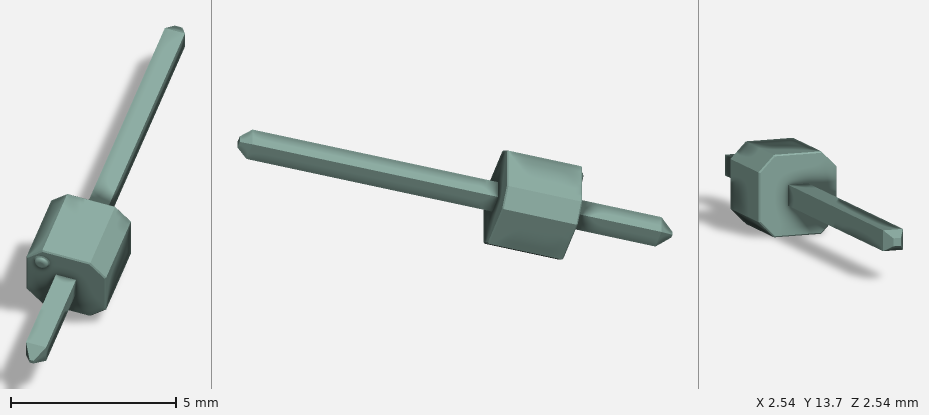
import cadquery as cq

total_length = 13.67
pin_width = 0.64
front_taper = 0.42
front_tip_width = 0.12
back_taper = 0.34
back_tip_width = 0.25

housing_width = 2.54
housing_corner = 0.5
housing_length = 2.38
housing_front = 3.2
end_chamfer = 0.04

nub_foot_radius = 0.26
nub_foot_height = 0.03
nub_dome_radius = 0.22
nub_round = 0.11
nub_offset = housing_width / 2 - housing_corner


def front_plane(y):
    """Plane across the pin at the given Y, with its normal towards +Y."""
    return cq.Plane(origin=(0, y, 0), xDir=(1, 0, 0), normal=(0, 1, 0))


def square_loft(y, length, start_width, end_width):
    """Square frustum that starts at Y = y and runs along +Y."""
    return (
        cq.Workplane(front_plane(y))
        .rect(start_width, start_width)
        .workplane(offset=length)
        .rect(end_width, end_width)
        .loft(ruled=True)
    )


def make_pin():
    """Square pin with a pointed front end and a blunt back end."""
    shank_length = total_length - front_taper - back_taper
    shank = cq.Workplane(front_plane(front_taper)).rect(pin_width, pin_width).extrude(shank_length)
    front_tip = square_loft(0, front_taper, front_tip_width, pin_width)
    back_tip = square_loft(total_length - back_taper, back_taper, pin_width, back_tip_width)
    return shank.union(front_tip).union(back_tip)


def make_housing():
    """Octagonal block with chamfered ends and a square hole for the pin."""
    block = (
        cq.Workplane(front_plane(housing_front))
        .rect(housing_width, housing_width)
        .extrude(housing_length)
        .edges("|Y")
        .chamfer(housing_corner)
        .faces("<Y or >Y")
        .chamfer(end_chamfer)
    )
    pin_hole = cq.Workplane(front_plane(housing_front)).rect(pin_width, pin_width).extrude(housing_length)
    return block.cut(pin_hole)


def make_nub():
    """Domed nub with a flared foot and a small flat top, near a corner of the front face."""
    flat_radius = nub_dome_radius - nub_round
    foot_y = -nub_foot_height
    top_y = foot_y - nub_round
    profile = (
        cq.Workplane("XY")
        .lineTo(0, top_y)
        .lineTo(flat_radius, top_y)
        .tangentArcPoint((nub_dome_radius, foot_y), relative=False)
        .lineTo(nub_foot_radius, 0)
        .close()
    )
    nub_at_origin = profile.revolve(360, (0, 0, 0), (0, 1, 0))
    return nub_at_origin.translate((-nub_offset, housing_front, nub_offset))


pin = make_pin()
housing = make_housing()
nub = make_nub()

result = cq.Compound.makeCompound([pin.val(), housing.val(), nub.val()])